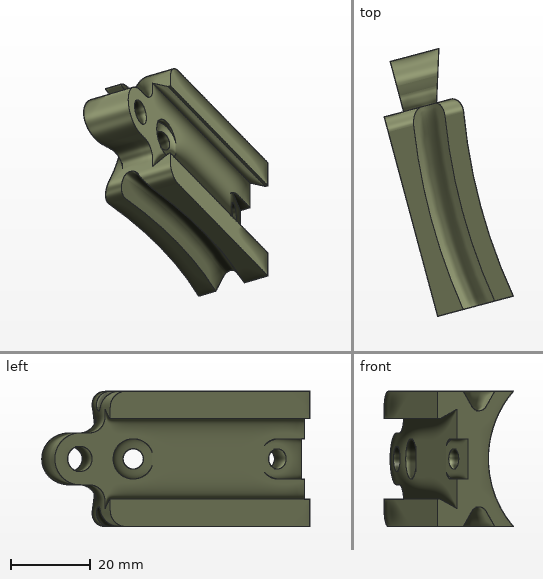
import cadquery as cq
import math

tilt = 15.0

height = 34.0
half_height = height / 2
body_length = 51.95
corner_radius = 4.05
tab_radius = 6.55
tab_center_y = 58.5
tab_hole_diameter = 6.35
blank_thickness = 26.95

tab_base_back_x = 13.7
tab_tip_back_x = 17.8

slot_depth = 5.05
slot_lip = 0.7
slot_half_mouth = 10.1
slot_half_floor = 12.5

saddle_center_y = 24.2
saddle_floor_x = 11.25
saddle_section_radius = 25.8
saddle_sweep_radius = 148.25
saddle_sweep_angle = 60.0
saddle_overlap = 1.35
saddle_axis_x = saddle_floor_x + saddle_sweep_radius

groove_front_x = 10.8
groove_depth = 4.9
groove_tip_radius = 2.1
groove_wall_angle = 30.0

screw_angle = 15.0
screw_diameter = 5.05
screw_head_diameter = 10.1
rear_screw_y = 44.6
rear_seat_depth = 1.3
front_screw_y = 6.8
front_seat_start_y = 10.45
cut_length = 40.45


def make_blank():
    """Plate with rounded rear corners and a filleted, round-ended tab."""
    diagonal = math.sqrt(0.5)
    neck_z = tab_radius + corner_radius
    neck_y = body_length + corner_radius
    corner_y = body_length - corner_radius
    corner_z = half_height - corner_radius
    arc_offset = corner_radius * diagonal
    return (
        cq.Workplane("YZ")
        .moveTo(0, -half_height)
        .lineTo(corner_y, -half_height)
        .threePointArc((corner_y + arc_offset, -corner_z - arc_offset), (body_length, -corner_z))
        .lineTo(body_length, -neck_z)
        .threePointArc((neck_y - arc_offset, -neck_z + arc_offset), (neck_y, -tab_radius))
        .lineTo(tab_center_y, -tab_radius)
        .threePointArc((tab_center_y + tab_radius, 0), (tab_center_y, tab_radius))
        .lineTo(neck_y, tab_radius)
        .threePointArc((neck_y - arc_offset, neck_z - arc_offset), (body_length, neck_z))
        .lineTo(body_length, corner_z)
        .threePointArc((corner_y + arc_offset, corner_z + arc_offset), (corner_y, half_height))
        .lineTo(0, half_height)
        .close()
        .extrude(blank_thickness)
    )


def make_dovetail_slot():
    """Undercut slot running the full length of the left face."""
    total_length = tab_center_y + tab_radius
    return (
        cq.Workplane("XZ")
        .polyline([
            (0, -slot_half_mouth),
            (slot_lip, -slot_half_mouth),
            (slot_depth, -slot_half_floor),
            (slot_depth, slot_half_floor),
            (slot_lip, slot_half_mouth),
            (0, slot_half_mouth),
        ])
        .close()
        .extrude(-total_length)
    )


def revolve_about_saddle_axis(profile):
    """Revolve a profile, drawn in radius and Z, into a sector facing the plate."""
    sector = profile.revolve(saddle_sweep_angle, (0, 0, 0), (0, 1, 0))
    sector = sector.rotate((0, 0, 0), (0, 0, 1), 180 - saddle_sweep_angle / 2)
    return sector.translate((saddle_axis_x, saddle_center_y, 0))


def make_saddle():
    """Barrel-shaped cutter for the concave back face."""
    cutter_half_height = half_height + saddle_overlap
    inner_radius = saddle_sweep_radius - blank_thickness
    rise = math.sqrt(saddle_section_radius**2 - cutter_half_height**2)
    edge_radius = saddle_sweep_radius - saddle_section_radius + rise
    profile = (
        cq.Workplane("XZ")
        .moveTo(inner_radius, -cutter_half_height)
        .lineTo(edge_radius, -cutter_half_height)
        .radiusArc((saddle_sweep_radius, 0), -saddle_section_radius)
        .radiusArc((edge_radius, cutter_half_height), -saddle_section_radius)
        .lineTo(inner_radius, cutter_half_height)
        .close()
    )
    return revolve_about_saddle_axis(profile)


def make_tab_back():
    """Cutter that leaves the flat back of the tab, thicker towards its tip."""
    tip_y = tab_center_y + tab_radius
    return (
        cq.Workplane("XY")
        .polyline([
            (tab_base_back_x, body_length),
            (blank_thickness, body_length),
            (blank_thickness, tip_y),
            (tab_tip_back_x, tip_y),
        ])
        .close()
        .extrude(tab_radius + corner_radius, both=True)
    )


def make_groove(side):
    """V groove with a round bottom; side is 1 for the top, -1 for the bottom."""
    angle = math.radians(groove_wall_angle)
    center_radius = math.hypot(saddle_axis_x - groove_front_x, saddle_center_y)
    tip_z = half_height - groove_depth
    tangent_z = tip_z + groove_tip_radius * (1 - math.sin(angle))
    half_tip = groove_tip_radius * math.cos(angle)
    half_mouth = half_tip + (half_height - tangent_z) * math.tan(angle)
    profile = (
        cq.Workplane("XZ")
        .moveTo(center_radius - half_mouth, side * half_height)
        .lineTo(center_radius - half_tip, side * tangent_z)
        .threePointArc((center_radius, side * tip_z), (center_radius + half_tip, side * tangent_z))
        .lineTo(center_radius + half_mouth, side * half_height)
        .close()
    )
    return revolve_about_saddle_axis(profile)


def screw_plane(x, y, angle):
    """Plane on a screw seat: normal into the plate, local Y towards the front."""
    lean = math.radians(angle)
    normal = (math.cos(lean), math.sin(lean), 0)
    return cq.Workplane(cq.Plane((x, y, 0), (0, 0, 1), normal))


def make_rear_screw():
    """Through hole with a round seat sunk into the slot floor."""
    mouth = screw_plane(slot_depth, rear_screw_y, -screw_angle)
    hole = mouth.circle(screw_diameter / 2).extrude(cut_length)
    seat = (
        mouth.workplane(offset=-slot_depth)
        .circle(screw_head_diameter / 2)
        .extrude(slot_depth + rear_seat_depth)
    )
    return hole.union(seat)


def make_front_screw():
    """Through hole with a round-ended seat open to the front face."""
    seat_x = slot_depth + (front_seat_start_y - front_screw_y) * math.tan(math.radians(screw_angle))
    seat = screw_plane(seat_x, front_screw_y, screw_angle)
    hole = seat.circle(screw_diameter / 2).extrude(cut_length)
    run_out = 2 * front_screw_y
    round_end = seat.circle(screw_head_diameter / 2).extrude(-slot_depth)
    open_end = seat.center(0, run_out / 2).rect(screw_head_diameter, run_out).extrude(-slot_depth)
    return hole.union(round_end).union(open_end)


def make_tab_hole():
    return (
        cq.Workplane("YZ")
        .center(tab_center_y, 0)
        .circle(tab_hole_diameter / 2)
        .extrude(blank_thickness)
    )


body = make_blank().cut(make_dovetail_slot())
body = body.cut(make_rear_screw()).cut(make_front_screw()).cut(make_tab_hole())
body_span = cq.Workplane("XY").box(2 * saddle_axis_x, 2 * body_length, 2 * height)
body = body.cut(make_saddle().intersect(body_span)).cut(make_tab_back())
for groove_side in (1, -1):
    body = body.cut(make_groove(groove_side))

result = body.rotate((0, 0, 0), (0, 0, 1), tilt)